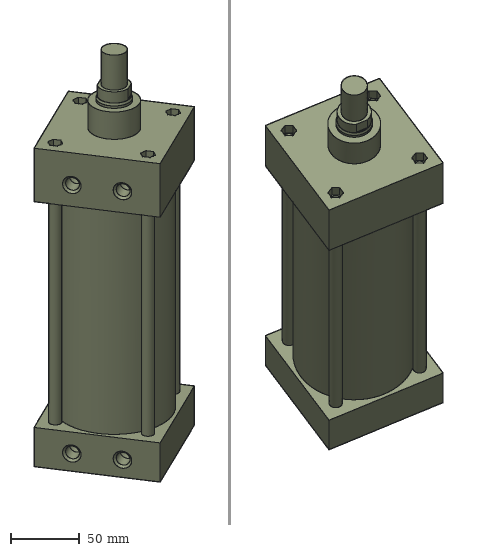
import cadquery as cq
import math

TOTAL_HEIGHT = 324.0
REAR_CAP_HEIGHT = 32.0
HEAD_BOTTOM = 216.3
HEAD_TOP = 260.0
BOSS_TOP = 282.5
LIP_TOP = 286.3
FLAT_BOTTOM = 287.0
SHANK_TOP = 295.5

CAP_SIDE = 95.2
BARREL_DIAMETER = 89.5
TIE_ROD_DIAMETER = 9.7
TIE_ROD_OFFSET = 35.0

BOSS_DIAMETER = 38.5
LIP_DIAMETER = 27.0
LIP_CHAMFER_WIDTH = 0.8
LIP_CHAMFER_HEIGHT = 2.0

ROD_DIAMETER = 25.0
ROD_TIP_DIAMETER = 19.0
ROD_FLATS_WIDTH = 23.3

DRILL_POINT_ANGLE = 118.0
PORT_OFFSET = 19.0
REAR_PORT_HEIGHT = 14.5
HEAD_PORT_HEIGHT = 233.8
PORT_DIAMETER = 10.5
PORT_RIM_DIAMETER = 14.0
PORT_DEPTH = 13.0

SOCKET_ACROSS_FLATS = 9.7
SOCKET_DEPTH = 8.0
SOCKET_DRILL_DIAMETER = 8.5


def cylinder(diameter, bottom, top):
    """Upright cylinder on the Z axis between two heights."""
    return cq.Workplane("XY").workplane(offset=bottom).circle(diameter / 2).extrude(top - bottom)


def cap(bottom, top):
    """Square end block between two heights."""
    return cq.Workplane("XY").workplane(offset=bottom).rect(CAP_SIDE, CAP_SIDE).extrude(top - bottom)


def drill_point(diameter, depth):
    """Cone pointing down, with its base at the given depth below the origin."""
    radius = diameter / 2
    length = radius / math.tan(math.radians(DRILL_POINT_ANGLE / 2))
    return cq.Workplane(cq.Solid.makeCone(radius, 0, length, cq.Vector(0, 0, -depth), cq.Vector(0, 0, -1)))


def port_cutter():
    """Blind port going down from the origin: 45 degree rim chamfer, bore and drill point."""
    radius = PORT_DIAMETER / 2
    rim_radius = PORT_RIM_DIAMETER / 2
    rim_depth = rim_radius - radius
    rim = cq.Workplane(
        cq.Solid.makeCone(rim_radius, radius, rim_depth, cq.Vector(0, 0, 0), cq.Vector(0, 0, -1))
    )
    return rim.union(cylinder(PORT_DIAMETER, -PORT_DEPTH, 0)).union(drill_point(PORT_DIAMETER, PORT_DEPTH))


def socket_cutter():
    """Hexagon socket going down from the origin, corners along X, with a drill point in its floor."""
    across_corners = SOCKET_ACROSS_FLATS / math.cos(math.pi / 6)
    hexagon = cq.Workplane("XY").polygon(6, across_corners).extrude(-SOCKET_DEPTH)
    return hexagon.union(drill_point(SOCKET_DRILL_DIAMETER, SOCKET_DEPTH))


def tie_rod_places():
    return [(x, y) for x in (-TIE_ROD_OFFSET, TIE_ROD_OFFSET) for y in (-TIE_ROD_OFFSET, TIE_ROD_OFFSET)]


def make_housing():
    """Caps, barrel, tie rods, rod boss and wiper lip as one solid, bored for the piston rod."""
    body = cap(0, REAR_CAP_HEIGHT).union(cylinder(BARREL_DIAMETER, REAR_CAP_HEIGHT, HEAD_BOTTOM))
    for x, y in tie_rod_places():
        body = body.union(cylinder(TIE_ROD_DIAMETER, REAR_CAP_HEIGHT, HEAD_BOTTOM).translate((x, y, 0)))
    body = body.union(cap(HEAD_BOTTOM, HEAD_TOP))
    body = body.union(cylinder(BOSS_DIAMETER, HEAD_TOP, BOSS_TOP))

    lip = cylinder(LIP_DIAMETER, BOSS_TOP, LIP_TOP)
    lip = lip.faces(">Z").edges().chamfer(LIP_CHAMFER_HEIGHT, LIP_CHAMFER_WIDTH)
    body = body.union(lip)

    socket = socket_cutter()
    for x, y in tie_rod_places():
        body = body.cut(socket.translate((x, y, HEAD_TOP)))

    port = port_cutter().rotate((0, 0, 0), (1, 0, 0), 90)
    for height in (REAR_PORT_HEIGHT, HEAD_PORT_HEIGHT):
        for x in (-PORT_OFFSET, PORT_OFFSET):
            body = body.cut(port.translate((x, -CAP_SIDE / 2, height)))

    return body.cut(cylinder(ROD_DIAMETER, HEAD_BOTTOM, LIP_TOP))


def make_piston_rod():
    """Rod shank with two wrench flats and a reduced tip."""
    shank = cylinder(ROD_DIAMETER, HEAD_BOTTOM, FLAT_BOTTOM)
    flats = cylinder(ROD_DIAMETER, FLAT_BOTTOM, SHANK_TOP).intersect(
        cq.Workplane("XY").box(ROD_FLATS_WIDTH, ROD_DIAMETER, 2 * TOTAL_HEIGHT)
    )
    tip = cylinder(ROD_TIP_DIAMETER, SHANK_TOP, TOTAL_HEIGHT)
    return shank.union(flats).union(tip)


housing = make_housing()
piston_rod = make_piston_rod()

result = cq.Compound.makeCompound([housing.val(), piston_rod.val()])